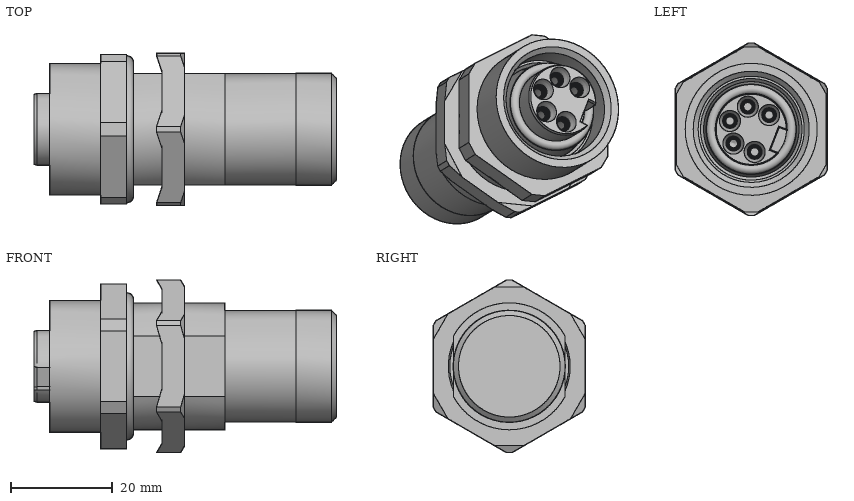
import cadquery as cq
import math


sleeve_front = 3.1
flange_front = 13.15
flange_back = 18.25
gasket_back = 19.65
thread_end = 37.6
grip_start = 51.6
total_length = 59.6

sleeve_diameter = 26.0
gasket_outer_diameter = 29.0
thread_diameter = 25.0
thread_width_over_flats = 22.0
rear_diameter = 22.0
grip_diameter = 22.1
end_chamfer = 1.05

flange_across_flats = 29.5
flange_across_corners = 32.5

nut_across_flats = 30.0
nut_across_corners = 34.0
nut_bore_diameter = 24.0
nut_front = 24.15
nut_back = 29.7
nut_front_rise = 1.05
nut_back_drop = 0.8
corner_bend_slope = math.tan(math.radians(30))

mouth_diameter = 22.85
recess_diameter = 20.9
ledge_diameter = 20.0
groove_diameter = 18.8
mouth_depth = 1.1
ledge_position = 10.5
ledge_taper_length = 0.8
groove_floor = 12.0

insert_diameter = 14.2
insert_chamfer_radial = 0.2
insert_chamfer_length = 0.6
foot_diameter = 17.8
foot_front = 6.0
seal_centre_radius = 7.88
seal_section_radius = 0.93

contact_circle_radius = 4.5
contact_positions = 6
key_angle = 201.4
drilled_contact_index = 2
socket_mouth_diameter = 4.15
socket_waist_diameter = 3.7
socket_seat_diameter = 2.9
socket_waist_depth = 0.8
socket_seat_depth = 1.8
contact_step_diameters = (2.65, 2.3, 1.98)
contact_step_depth = 0.4
pin_bore_diameter = 1.65
pin_bore_depth = 6.0
drill_tip_depth = 0.5
key_floor_radius = 5.0
key_width = 4.7
key_depth = 7.0


def revolve_about_x(points):
    """Solid of revolution about X from a closed outline of (x, radius) points."""
    return cq.Workplane("XY").polyline(points).close().revolve(360, (0, 0, 0), (1, 0, 0))


def cylinder(start, end, diameter):
    return cq.Workplane("YZ", origin=(start, 0, 0)).circle(diameter / 2).extrude(end - start)


def ring(position, centre_radius, section_radius):
    """Round-section ring about X, centred on the given station."""
    section = cq.Workplane("XY").center(position, centre_radius).circle(section_radius)
    return section.revolve(360, (0, -centre_radius, 0), (1, -centre_radius, 0))


def hexagon_points(across_flats, first_corner_angle):
    radius = across_flats / 2 / math.cos(math.radians(30))
    angles = [math.radians(first_corner_angle + 60 * i) for i in range(6)]
    return [(radius * math.cos(a), radius * math.sin(a)) for a in angles]


def hexagon_prism(start, end, across_flats, first_corner_angle):
    outline = hexagon_points(across_flats, first_corner_angle)
    return cq.Workplane("YZ", origin=(start, 0, 0)).polyline(outline).close().extrude(end - start)


def trimmed_hexagon(start, end, across_flats, across_corners):
    """Hexagon with flats facing +Y and -Y and its six corners cut off flat."""
    hexagon = hexagon_prism(start, end, across_flats, 30)
    return hexagon.intersect(hexagon_prism(start, end, across_corners, 0))


def corner_frustum(start, end, start_width, end_width):
    """Tapered hexagon whose six sides face the corners of the nut."""
    return (
        cq.Workplane("YZ", origin=(start, 0, 0))
        .polyline(hexagon_points(start_width, 0))
        .close()
        .workplane(offset=end - start)
        .polyline(hexagon_points(end_width, 0))
        .close()
        .loft(ruled=True)
    )


def make_body():
    sleeve = cylinder(sleeve_front, flange_front, sleeve_diameter)
    flange = trimmed_hexagon(flange_front, flange_back, flange_across_flats, flange_across_corners)
    gasket_section_radius = gasket_back - flange_back
    gasket = ring(flange_back, gasket_outer_diameter / 2 - gasket_section_radius, gasket_section_radius)
    thread_length = thread_end - flange_back
    flats = cq.Workplane("XY").box(thread_length, thread_width_over_flats, thread_diameter)
    flats = flats.translate((flange_back + thread_length / 2, 0, 0))
    thread = cylinder(flange_back, thread_end, thread_diameter).intersect(flats)
    rear = cylinder(thread_end, grip_start, rear_diameter)
    grip = cylinder(grip_start, total_length, grip_diameter).faces(">X").chamfer(end_chamfer)
    return sleeve.union(flange).union(gasket).union(thread).union(rear).union(grip)


def make_nut():
    blank = trimmed_hexagon(nut_front, nut_back, nut_across_flats, nut_across_corners)
    front_narrowing = 2 * nut_front_rise / corner_bend_slope
    hollow = corner_frustum(
        nut_front, nut_front + nut_front_rise, nut_across_corners, nut_across_corners - front_narrowing
    )
    chamfer_start = nut_back - nut_back_drop
    back_narrowing = 2 * nut_back_drop / corner_bend_slope
    straight = hexagon_prism(nut_front, chamfer_start, nut_across_corners, 0)
    tapered = corner_frustum(
        chamfer_start, nut_back, nut_across_corners, nut_across_corners - back_narrowing
    )
    nut = blank.intersect(straight.union(tapered))
    return nut.cut(hollow).cut(cylinder(nut_front, nut_back, nut_bore_diameter))


def make_recess():
    return revolve_about_x(
        [
            (sleeve_front, 0),
            (sleeve_front, mouth_diameter / 2),
            (sleeve_front + mouth_depth, recess_diameter / 2),
            (ledge_position, recess_diameter / 2),
            (ledge_position, ledge_diameter / 2),
            (ledge_position + ledge_taper_length, groove_diameter / 2),
            (groove_floor, groove_diameter / 2),
            (groove_floor, 0),
        ]
    )


def make_insert():
    insert_radius = insert_diameter / 2
    return revolve_about_x(
        [
            (0, 0),
            (0, insert_radius - insert_chamfer_radial),
            (insert_chamfer_length, insert_radius),
            (foot_front, insert_radius),
            (foot_front, foot_diameter / 2),
            (groove_floor, groove_diameter / 2),
            (groove_floor, 0),
        ]
    )


def make_contact_socket(has_drill_tip):
    bore_radius = pin_bore_diameter / 2
    tip_position = pin_bore_depth + (drill_tip_depth if has_drill_tip else 0)
    outline = [
        (0, 0),
        (0, socket_mouth_diameter / 2),
        (socket_waist_depth, socket_waist_diameter / 2),
        (socket_seat_depth, socket_seat_diameter / 2),
    ]
    step_start = socket_seat_depth
    for diameter in contact_step_diameters:
        outline.append((step_start, diameter / 2))
        step_start += contact_step_depth
        outline.append((step_start, diameter / 2))
    outline += [(step_start, bore_radius), (pin_bore_depth, bore_radius), (tip_position, 0)]
    return revolve_about_x(outline)


def cut_contacts(part):
    """Sockets fill every position of the contact circle but the one taken by the key slot."""
    for index in range(1, contact_positions):
        angle = math.radians(key_angle + index * 360 / contact_positions)
        socket = make_contact_socket(index == drilled_contact_index)
        y = contact_circle_radius * math.cos(angle)
        z = contact_circle_radius * math.sin(angle)
        part = part.cut(socket.translate((0, y, z)))
    return part


def make_key_slot():
    """Flat-floored slot along the rim of the insert, flared at its front like the rim itself."""
    rim_radius = insert_diameter / 2
    radial_depth = rim_radius - key_floor_radius
    slot = cq.Workplane("XY").box(key_depth, radial_depth, key_width, centered=(False, False, True))
    slot = slot.translate((0, key_floor_radius, 0))
    flare = 2 * insert_chamfer_radial
    mouth = (
        cq.Workplane("YZ")
        .center(rim_radius, 0)
        .rect(2 * radial_depth + flare, key_width + flare)
        .workplane(offset=insert_chamfer_length)
        .rect(2 * radial_depth, key_width)
        .loft(ruled=True)
    )
    return slot.union(mouth).rotate((0, 0, 0), (1, 0, 0), key_angle)


insert = cut_contacts(make_insert().cut(make_key_slot()))
seal = ring(foot_front, seal_centre_radius, seal_section_radius)
result = make_body().cut(make_recess()).union(insert).union(seal).union(make_nut())